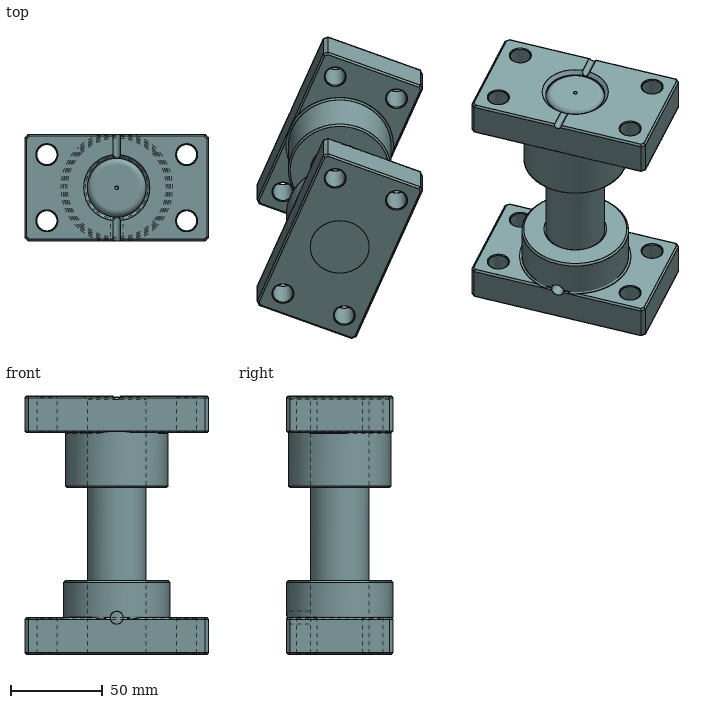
import cadquery as cq

total_height = 140.5
plate_length = 100.0
plate_width = 58.0
plate_thickness = 20.0
upper_plate_base = total_height - plate_thickness

corner_chamfer = 2.0
edge_chamfer = 1.0

bolt_spacing_x = 76.0
bolt_spacing_y = 36.0
bolt_diameter = 11.0
bolt_chamfer = 0.49

upper_boss_diameter = 56.0
upper_boss_height = 30.0
lower_boss_diameter = plate_width
lower_boss_height = 20.1
boss_chamfer = 1.0
relief_radius = 0.7
relief_offset = 0.5

pillar_diameter = 32.0
pillar_top_gap = 0.5
pillar_rounding = 3.5
center_mark_diameter = 2.0
center_mark_depth = 1.7
bore_chamfer_top = 2.0
bore_chamfer_boss = 1.0

channel_diameter = 4.0
cross_hole_diameter = 7.0


def cylinder(diameter, height, base_z):
    """Upright cylinder on the Z axis."""
    return cq.Workplane("XY", origin=(0, 0, base_z)).circle(diameter / 2).extrude(height)


def bore_countersink(chamfer, mouth_z):
    """Cone that chamfers the mouth of a bore opening upward at mouth_z."""
    radius = pillar_diameter / 2
    profile = [
        (0, mouth_z),
        (radius + chamfer, mouth_z),
        (radius, mouth_z - chamfer),
        (0, mouth_z - chamfer),
    ]
    return cq.Workplane("XZ").polyline(profile).close().revolve(360, (0, 0), (0, 1))


def relief_ring(boss_diameter, plate_face_z):
    """Torus of the relief groove, centered on the plate face just outside the boss."""
    section = cq.Workplane("XZ").center(boss_diameter / 2 + relief_offset, plate_face_z)
    center_line_x = -boss_diameter / 2 - relief_offset
    return section.circle(relief_radius).revolve(360, (center_line_x, 0), (center_line_x, 1))


def flange_plate(base_z):
    """Rectangular plate with chamfered edges and four chamfered bolt holes."""
    plate = cq.Workplane("XY", origin=(0, 0, base_z))
    plate = plate.box(plate_length, plate_width, plate_thickness, centered=(True, True, False))
    plate = plate.edges("|Z").chamfer(corner_chamfer)
    plate = plate.faces("<Z or >Z").chamfer(edge_chamfer)
    plate = plate.faces(">Z").workplane(origin=(0, 0, 0))
    plate = plate.rect(bolt_spacing_x, bolt_spacing_y, forConstruction=True).vertices().hole(bolt_diameter)
    return plate.edges("%CIRCLE").chamfer(bolt_chamfer)


def make_upper_flange():
    """Plate with a boss on its underside, bored through for the pillar."""
    boss = cylinder(upper_boss_diameter, upper_boss_height, upper_plate_base - upper_boss_height)
    boss = boss.faces("<Z").chamfer(boss_chamfer)
    bore = cylinder(pillar_diameter, total_height, 0)
    channel = cq.Workplane("XZ", origin=(0, 0, total_height)).circle(channel_diameter / 2)
    flange = flange_plate(upper_plate_base).union(boss).cut(bore)
    flange = flange.cut(relief_ring(upper_boss_diameter, upper_plate_base))
    flange = flange.cut(bore_countersink(bore_chamfer_top, total_height))
    return flange.cut(channel.extrude(plate_width, both=True))


def make_lower_flange():
    """Plate with a boss on top, bored through, with a cross hole from the -Y side to the bore."""
    boss_top = plate_thickness + lower_boss_height
    boss = cylinder(lower_boss_diameter, lower_boss_height, plate_thickness)
    boss = boss.faces(">Z").chamfer(boss_chamfer)
    bore = cylinder(pillar_diameter, boss_top, 0)
    cross_hole = cq.Workplane("XZ", origin=(0, 0, plate_thickness)).circle(cross_hole_diameter / 2)
    flange = flange_plate(0).union(boss).cut(bore)
    flange = flange.cut(relief_ring(lower_boss_diameter, plate_thickness))
    flange = flange.cut(bore_countersink(bore_chamfer_boss, boss_top))
    return flange.cut(cross_hole.extrude(plate_width))


def make_pillar():
    """Round pillar with a rounded top rim and a small conical center mark."""
    pillar_top = total_height - pillar_top_gap
    pillar = cylinder(pillar_diameter, pillar_top, 0)
    pillar = pillar.faces(">Z").edges().fillet(pillar_rounding)
    cone = [(0, pillar_top), (center_mark_diameter / 2, pillar_top), (0, pillar_top - center_mark_depth)]
    return pillar.cut(cq.Workplane("XZ").polyline(cone).close().revolve(360, (0, 0), (0, 1)))


upper_flange = make_upper_flange()
lower_flange = make_lower_flange()
pillar = make_pillar()

result = cq.Compound.makeCompound([upper_flange.val(), lower_flange.val(), pillar.val()])